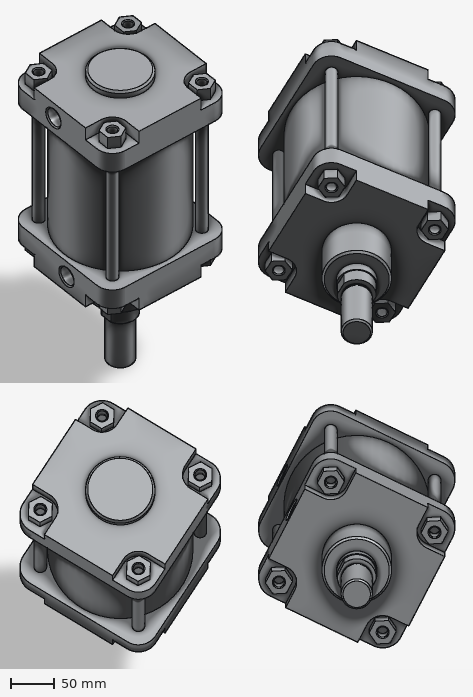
import cadquery as cq
import math


total_height = 437.0
cap_side = 180.0

cap_height = 46.0
rear_boss_height = 9.5
barrel_length = 178.0
tie_spacing = 133.5
corner_radius = (cap_side - tie_spacing) / 2
notch_side = 43.5
notch_radius = notch_side - corner_radius
notch_depth = 18.0
boss_diameter = 80.0
boss_chamfer = 2.5
front_boss_height = 55.5

port_diameter = 24.0
port_depth = 35.0
port_chamfer = 1.7
port_offset = 12.0

barrel_diameter = 167.5

tie_diameter = 15.0
nut_sides = 6
nut_across_flats = 27.0
nut_across_corners = nut_across_flats / math.cos(math.pi / nut_sides)
nut_clearance = 1.5
socket_diameter = 12.2
socket_chamfer = 1.5

thread_diameter = 36.0
thread_length = 68.5
thread_chamfer = 2.0
groove_diameter = 33.5
groove_width = 3.5
wrench_diameter = 44.5
wrench_across_flats = 41.5
wrench_length = 18.5
collar_diameter = 46.8

rear_cap_top = total_height - rear_boss_height
rear_cap_bottom = rear_cap_top - cap_height
front_cap_top = rear_cap_bottom - barrel_length
front_cap_bottom = front_cap_top - cap_height
front_boss_bottom = front_cap_bottom - front_boss_height
groove_top = thread_length + groove_width
wrench_top = groove_top + wrench_length

tie_points = [(sx * tie_spacing / 2, sy * tie_spacing / 2) for sx in (-1, 1) for sy in (-1, 1)]


def cylinder(diameter, bottom, top):
    """Upright cylinder on the part axis between two levels."""
    return cq.Workplane("XY").workplane(offset=bottom).circle(diameter / 2).extrude(top - bottom)


def cap_block(bottom, notch_bottom):
    """Rounded square block with a notch for a nut at each corner and holes for the tie rods."""
    block = (
        cq.Workplane("XY").workplane(offset=bottom)
        .rect(cap_side, cap_side).extrude(cap_height)
        .edges("|Z").fillet(corner_radius)
    )
    notches = (
        cq.Workplane("XY").workplane(offset=notch_bottom)
        .rect(cap_side, cap_side, forConstruction=True).vertices()
        .rect(2 * notch_side, 2 * notch_side).extrude(notch_depth)
        .edges("|Z").fillet(notch_radius)
    )
    tie_holes = (
        cq.Workplane("XY").workplane(offset=bottom)
        .pushPoints(tie_points).circle(tie_diameter / 2).extrude(cap_height)
    )
    return block.cut(notches).cut(tie_holes)


def port_cutter(x, z):
    """Blind round port with a chamfered mouth, entering the cap from its -Y face."""
    bore = (
        cq.Workplane("XZ", origin=(x, -cap_side / 2, z))
        .circle(port_diameter / 2).extrude(-port_depth)
    )
    mouth = (
        cq.Workplane("XZ", origin=(x, -cap_side / 2, z))
        .circle(port_diameter / 2 + port_chamfer)
        .workplane(offset=-port_chamfer).circle(port_diameter / 2).loft()
    )
    return bore.union(mouth)


def make_rear_cap():
    boss = cylinder(boss_diameter, rear_cap_top, total_height).faces(">Z").chamfer(boss_chamfer)
    cap = cap_block(rear_cap_bottom, rear_cap_top - notch_depth).union(boss)
    return cap.cut(port_cutter(-port_offset, rear_cap_bottom + cap_height / 2))


def make_front_cap():
    boss = cylinder(boss_diameter, front_boss_bottom, front_cap_bottom).faces("<Z").chamfer(boss_chamfer)
    cap = cap_block(front_cap_bottom, front_cap_bottom).union(boss)
    return cap.cut(port_cutter(port_offset, front_cap_bottom + cap_height / 2))


def make_barrel():
    return cylinder(barrel_diameter, front_cap_top, rear_cap_bottom)


def make_piston_rod():
    """Threaded tip, undercut groove, wrench flats facing +Y and -Y, and collar."""
    thread = cylinder(thread_diameter, 0, thread_length).faces("<Z").chamfer(thread_chamfer)
    groove = cylinder(groove_diameter, thread_length, groove_top)
    flats = (
        cq.Workplane("XY").workplane(offset=groove_top)
        .rect(wrench_diameter, wrench_across_flats).extrude(wrench_length)
    )
    wrench_section = cylinder(wrench_diameter, groove_top, wrench_top).intersect(flats)
    collar = cylinder(collar_diameter, wrench_top, front_boss_bottom)
    return thread.union(groove).union(wrench_section).union(collar)


def make_tie_rod(point):
    """Rod through both caps; each end has a hexagon nut and a chamfered socket as deep as the nut."""
    bottom = front_cap_bottom + nut_clearance
    top = rear_cap_top - nut_clearance
    nut_height = notch_depth - nut_clearance
    tie = cylinder(tie_diameter, bottom, top)
    for level in (bottom, top - nut_height):
        nut = (
            cq.Workplane("XY").workplane(offset=level)
            .polygon(nut_sides, nut_across_corners).extrude(nut_height)
        )
        tie = tie.union(nut)
        tie = tie.cut(cylinder(socket_diameter, level, level + nut_height))
    tie = tie.faces("<Z or >Z").edges("%CIRCLE").chamfer(socket_chamfer)
    return tie.translate((*point, 0))


rear_cap = make_rear_cap()
front_cap = make_front_cap()
barrel = make_barrel()
piston_rod = make_piston_rod()
tie_rods = [make_tie_rod(point) for point in tie_points]

result = cq.Compound.makeCompound(
    [rear_cap.val(), front_cap.val(), barrel.val(), piston_rod.val(), *[tie.val() for tie in tie_rods]]
)